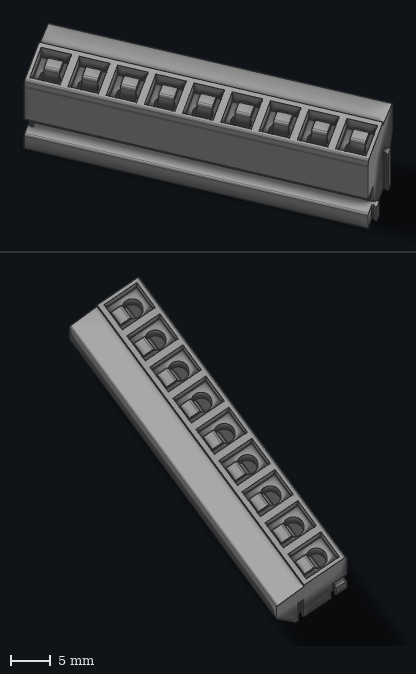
import cadquery as cq

overall_length = 45.7
body_length = 44.95
depth = 10.8
height = 13.5
pole_count = 9
pitch = body_length / pole_count

ledge_height = 2.75
ledge_round = 0.27
recess_depth = 2.2
recess_top = 5.7
recess_lip_round = 0.27

front_lean_start = 12.35
front_blend_y = 0.025
front_blend_end = 12.5
front_blend_radius = 0.9
front_lean = 0.2
front_lean_end = 13.2
top_front_y = 0.4
roof_step_y = 6.6
roof_step_bottom = 12.9
roof_back_z = 12.3
back_edge_round = 0.2

back_slope_top = 6.95
base_back_y = 7.9

pocket_width = 3.98
pocket_front = 0.8
pocket_back = 5.85
pocket_depth = 2.0
pocket_floor = height - pocket_depth

well_radius = 1.33
well_y = 2.92
well_depth = 2.5
well_floor = pocket_floor - well_depth

tongue_width = 2.0
tongue_top = pocket_floor + 0.7
tongue_back_drop = 0.25
tongue_back_edge = 5.5
tongue_bend_start = 4.1
tongue_bend_end = 3.75
tongue_bend_drop = 0.4
tongue_tip = 2.85

pin_hole_diameter = 1.5
pin_hole_z = 4.2

rails = [(2.0, ledge_height), (7.05, 7.3)]
rail_reach = overall_length - body_length
rail_root_half = 0.4
rail_neck_half = 0.27
rail_head_half = 0.55
rail_tip_half = 0.45
rail_neck_x = 0.25
rail_head_x = 0.5


def make_housing():
    return (
        cq.Workplane("YZ")
        .moveTo(0, 0)
        .lineTo(0, ledge_height - ledge_round)
        .radiusArc((ledge_round, ledge_height), ledge_round)
        .lineTo(recess_depth, ledge_height)
        .lineTo(recess_depth, recess_top)
        .lineTo(recess_lip_round, recess_top)
        .radiusArc((0, recess_top + recess_lip_round), recess_lip_round)
        .lineTo(0, front_lean_start)
        .radiusArc((front_blend_y, front_blend_end), front_blend_radius)
        .lineTo(front_lean, front_lean_end)
        .radiusArc((top_front_y, height), height - front_lean_end)
        .lineTo(roof_step_y, height)
        .lineTo(roof_step_y, roof_step_bottom)
        .lineTo(depth - back_edge_round, roof_back_z)
        .radiusArc((depth, roof_back_z - back_edge_round), back_edge_round)
        .lineTo(depth, back_slope_top)
        .lineTo(base_back_y, 0)
        .close()
        .extrude(body_length)
    )


def make_tongue():
    """Bent tongue with its side at X = 0, extruded to the tongue width."""
    return (
        cq.Workplane("YZ")
        .moveTo(pocket_back, well_floor)
        .lineTo(tongue_tip, well_floor)
        .lineTo(tongue_bend_end, tongue_top - tongue_bend_drop)
        .radiusArc((tongue_bend_start, tongue_top), tongue_bend_drop)
        .lineTo(tongue_back_edge, tongue_top)
        .lineTo(pocket_back, tongue_top - tongue_back_drop)
        .close()
        .extrude(tongue_width)
    )


def add_pole(body, center_x):
    """Pocket, wire well, spring tongue and pin hole of one pole."""
    pocket_length = pocket_back - pocket_front
    pocket = (
        cq.Workplane("XY", origin=(center_x, pocket_front, pocket_floor))
        .box(pocket_width, pocket_length, pocket_depth, centered=(True, False, False))
    )
    well = (
        cq.Workplane("XY", origin=(center_x, well_y, well_floor))
        .circle(well_radius)
        .extrude(well_depth)
    )
    pin_hole = (
        cq.Workplane("XZ", origin=(center_x, 0, pin_hole_z))
        .circle(pin_hole_diameter / 2)
        .extrude(-depth)
    )
    tongue = make_tongue().translate((center_x - tongue_width / 2, 0, 0))
    return body.cut(pocket).cut(well).cut(pin_hole).union(tongue)


def make_rail(start_x, center_y, rail_height):
    """Dovetail bar reaching in +X from start_x, standing on the base plane."""
    half_outline = [
        (0, rail_root_half),
        (rail_neck_x, rail_neck_half),
        (rail_head_x, rail_head_half),
        (rail_reach, rail_tip_half),
    ]
    outline = half_outline + [(x, -y) for x, y in reversed(half_outline)]
    return (
        cq.Workplane("XY", origin=(start_x, center_y, 0))
        .polyline(outline)
        .close()
        .extrude(rail_height)
    )


result = make_housing()
for pole in range(pole_count):
    result = add_pole(result, (pole + 0.5) * pitch)
for rail_y, rail_height in rails:
    result = result.cut(make_rail(0, rail_y, rail_height))
    result = result.union(make_rail(body_length, rail_y, rail_height))
result = cq.Workplane(result.solids().val())